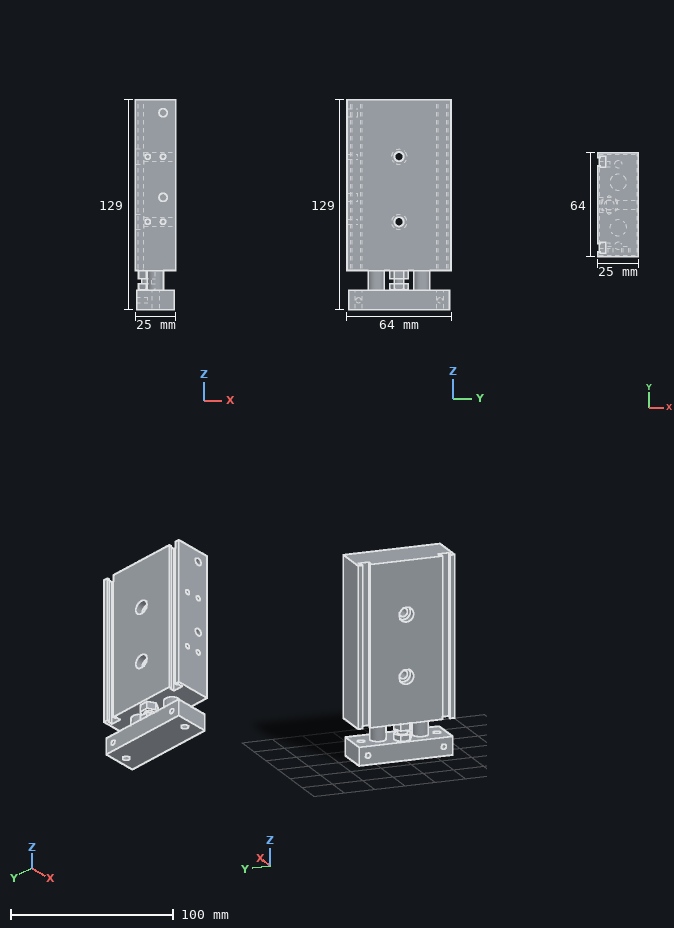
import cadquery as cq
import math

TOTAL_HEIGHT = 129.0
OVERLAP = 1.3

HOUSING_DEPTH = 25.0
HOUSING_WIDTH = 64.0
HOUSING_HEIGHT = 105.0
HOUSING_BOTTOM = TOTAL_HEIGHT - HOUSING_HEIGHT

GROOVE_EDGE_DISTANCE = 5.5
GROOVE_MOUTH_WIDTH = 5.0
GROOVE_INNER_WIDTH = 7.0
GROOVE_LIP = 1.5
GROOVE_DEPTH = 5.0
GROOVE_Y = HOUSING_WIDTH / 2 - GROOVE_EDGE_DISTANCE

MOUNT_PITCH = 40.0
MOUNT_TOP_Z = TOTAL_HEIGHT - 35.0
MOUNT_HEIGHTS = (MOUNT_TOP_Z, MOUNT_TOP_Z - MOUNT_PITCH)
MOUNT_HOLE_DIAMETER = 5.5
MOUNT_BORE_DIAMETER = 9.4
MOUNT_BORE_DEPTH = 5.4
PORT_DIAMETER = 5.0
PORT_DEPTH = 6.5
PORT_PITCH = 52.0
PORT_TOP_Z = TOTAL_HEIGHT - 8.0
PORT_HEIGHTS = (PORT_TOP_Z, PORT_TOP_Z - PORT_PITCH)
REAR_HOLE_X = 17.2
FRONT_HOLE_X = 7.7
SCREW_HOLE_DIAMETER = 3.2
SCREW_HOLE_DEPTH = 6.5

PLATE_DEPTH = 23.2
PLATE_WIDTH = 62.0
PLATE_HEIGHT = 12.0
PLATE_FRONT_X = (HOUSING_DEPTH - PLATE_DEPTH) / 2
PLATE_HOLE_SPACING = 50.0
PLATE_HOLE_DIAMETER = 4.5
PLATE_SCREW_DEPTH = 6.5
ROD_DIAMETER = 10.0
ROD_SPACING = 28.0
MID_X = HOUSING_DEPTH / 2
ROD_LENGTH = HOUSING_BOTTOM - PLATE_HEIGHT

BOLT_X = 7.0
BOLT_DIAMETER = 6.0
HEX_ACROSS_FLATS = 9.9
HEX_ACROSS_CORNERS = HEX_ACROSS_FLATS / math.cos(math.pi / 6)
BOLT_HEAD_HEIGHT = 5.0
NUT_HEIGHT = 4.0
NUT_CHAMFER_ANGLE = math.radians(30)
NUT_SEAT_DIAMETER = 9.4


def block(depth, width, height, x, y, z):
    """Box that starts at x and z and is centred on y."""
    return cq.Workplane("XY").box(depth, width, height, centered=(False, True, False)).translate((x, y, z))


def cylinder(diameter, length, start, direction):
    """Cylinder along direction, with one end centred on start."""
    return cq.Workplane(cq.Solid.makeCylinder(diameter / 2, length, cq.Vector(*start), cq.Vector(*direction)))


def t_groove(y):
    mouth = block(
        GROOVE_DEPTH + OVERLAP, GROOVE_MOUTH_WIDTH, HOUSING_HEIGHT + 2 * OVERLAP,
        -OVERLAP, y, HOUSING_BOTTOM - OVERLAP,
    )
    inner = block(
        GROOVE_DEPTH - GROOVE_LIP, GROOVE_INNER_WIDTH, HOUSING_HEIGHT + 2 * OVERLAP,
        GROOVE_LIP, y, HOUSING_BOTTOM - OVERLAP,
    )
    return mouth.union(inner)


def mounting_hole(z):
    """Through hole along X, counterbored from the grooved face."""
    hole = cylinder(MOUNT_HOLE_DIAMETER, HOUSING_DEPTH + 2 * OVERLAP, (-OVERLAP, 0, z), (1, 0, 0))
    bore = cylinder(MOUNT_BORE_DIAMETER, MOUNT_BORE_DEPTH + OVERLAP, (-OVERLAP, 0, z), (1, 0, 0))
    return hole.union(bore)


def side_hole(diameter, depth, x, z):
    """Blind hole in the -Y side of the housing."""
    start = (x, -HOUSING_WIDTH / 2 - OVERLAP, z)
    return cylinder(diameter, depth + OVERLAP, start, (0, 1, 0))


def make_housing():
    body = block(HOUSING_DEPTH, HOUSING_WIDTH, HOUSING_HEIGHT, 0, 0, HOUSING_BOTTOM)
    for y in (-GROOVE_Y, GROOVE_Y):
        body = body.cut(t_groove(y))
    for z in MOUNT_HEIGHTS:
        body = body.cut(mounting_hole(z))
        for x in (FRONT_HOLE_X, REAR_HOLE_X):
            body = body.cut(side_hole(SCREW_HOLE_DIAMETER, SCREW_HOLE_DEPTH, x, z))
    for z in PORT_HEIGHTS:
        body = body.cut(side_hole(PORT_DIAMETER, PORT_DEPTH, REAR_HOLE_X, z))
    return body


def make_rod_plate():
    """End plate with its two rods, which reach up to the housing."""
    body = block(PLATE_DEPTH, PLATE_WIDTH, PLATE_HEIGHT, PLATE_FRONT_X, 0, 0)
    for side in (-1, 1):
        hole_y = side * PLATE_HOLE_SPACING / 2
        upright_hole = cylinder(
            PLATE_HOLE_DIAMETER, PLATE_HEIGHT + 2 * OVERLAP, (MID_X, hole_y, -OVERLAP), (0, 0, 1)
        )
        face_hole = cylinder(
            SCREW_HOLE_DIAMETER, PLATE_SCREW_DEPTH + OVERLAP,
            (PLATE_FRONT_X - OVERLAP, hole_y, PLATE_HEIGHT / 2), (1, 0, 0),
        )
        body = body.cut(upright_hole).cut(face_hole)
        rod_start = (MID_X, side * ROD_SPACING / 2, PLATE_HEIGHT - OVERLAP)
        body = body.union(cylinder(ROD_DIAMETER, ROD_LENGTH + OVERLAP, rod_start, (0, 0, 1)))
    return body


def hexagon(height, z):
    """Hexagonal prism around the bolt axis, with corners toward -Y and +Y."""
    prism = cq.Workplane("XY").polygon(6, HEX_ACROSS_CORNERS).extrude(height)
    return prism.rotate((0, 0, 0), (0, 0, 1), 90).translate((BOLT_X, 0, z))


def chamfered_nut():
    """Hexagon nut whose lower corners are trimmed by a cone, leaving a round seat."""
    bottom_radius = NUT_SEAT_DIAMETER / 2
    top_radius = bottom_radius + NUT_HEIGHT / math.tan(NUT_CHAMFER_ANGLE)
    cone = cq.Solid.makeCone(bottom_radius, top_radius, NUT_HEIGHT, cq.Vector(BOLT_X, 0, PLATE_HEIGHT))
    return hexagon(NUT_HEIGHT, PLATE_HEIGHT).intersect(cq.Workplane(cone))


def make_stop_bolt():
    """Bolt with its head against the housing and its lock nut on the plate."""
    shank = cylinder(BOLT_DIAMETER, ROD_LENGTH, (BOLT_X, 0, PLATE_HEIGHT), (0, 0, 1))
    nut = chamfered_nut()
    head = hexagon(BOLT_HEAD_HEIGHT, HOUSING_BOTTOM - BOLT_HEAD_HEIGHT)
    return shank.union(nut).union(head)


housing = make_housing()
rod_plate = make_rod_plate()
stop_bolt = make_stop_bolt()

result = cq.Compound.makeCompound([housing.val(), rod_plate.val(), stop_bolt.val()])